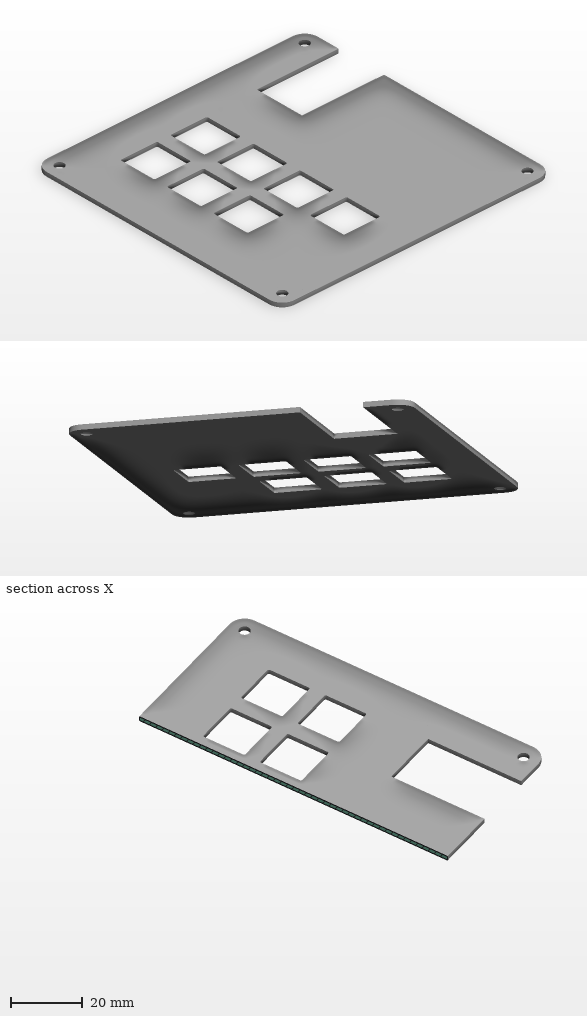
import cadquery as cq

width = 101.0
depth = 103.3
thickness = 1.5
corner_radius = 5.0

hole_diameter = 3.4
hole_inset = 5.0

notch_left_inset = 13.5
notch_width = 18.5
notch_depth = 31.2

key_size = 14.0
key_corner_radius = 0.5
key_pitch = 19.0
first_key_x = -29.0
front_row_y = -25.4
keys_per_row = [3, 4]


def make_plate():
    plate = cq.Workplane("XY").box(width, depth, thickness, centered=(True, True, False))
    return plate.edges("|Z").fillet(corner_radius)


def make_mounting_holes():
    spacing_x = width - 2 * hole_inset
    spacing_y = depth - 2 * hole_inset
    corners = cq.Workplane("XY").rect(spacing_x, spacing_y, forConstruction=True).vertices()
    return corners.circle(hole_diameter / 2).extrude(thickness)


def make_notch():
    center_x = -width / 2 + notch_left_inset + notch_width / 2
    center_y = depth / 2 - notch_depth / 2
    return cq.Workplane("XY").center(center_x, center_y).rect(notch_width, notch_depth).extrude(thickness)


def make_key_openings():
    centers = [
        (first_key_x + column * key_pitch, front_row_y + row * key_pitch)
        for row, key_count in enumerate(keys_per_row)
        for column in range(key_count)
    ]
    openings = cq.Workplane("XY").pushPoints(centers).rect(key_size, key_size).extrude(thickness)
    return openings.edges("|Z").fillet(key_corner_radius)


result = make_plate().cut(make_mounting_holes()).cut(make_notch()).cut(make_key_openings())